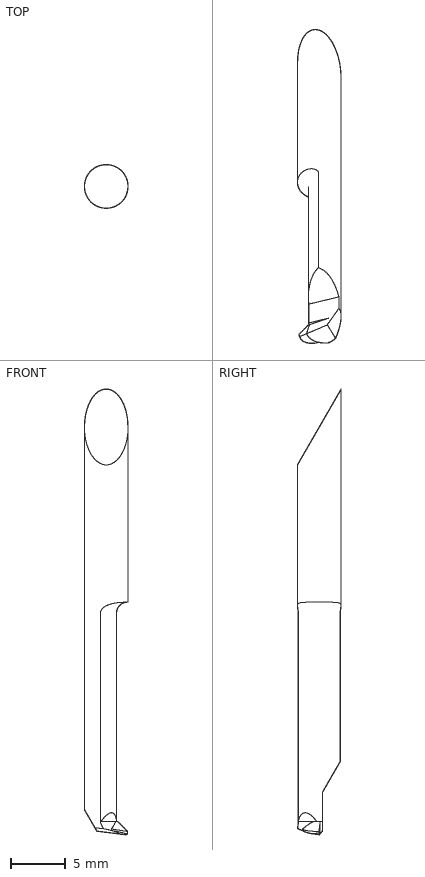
import cadquery as cq
import math


SHANK_RADIUS = 2.0
TOTAL_LENGTH = 40.72
SHANK_END_ANGLE = 30.0

NECK_OFFSET = 1.05
NECK_AXIS_X = -NECK_OFFSET
NECK_TOP_Z = 21.25
NECK_RUNOUT_RADIUS = 1.0

FLAT_Y = 0.31
FLAT_TOP_Z = 3.9
FLAT_RUNOUT_ANGLE = 30.0

BEVEL_TOP_Z = 2.3
BEVEL_ANGLE = 30.0

CHIP_FACET_START_X = -1.0

TIP_TOP_Z = 1.22
UNDERCUT_HEIGHT = 0.8
UNDERCUT_DEPTH = 0.33
UNDERCUT_DIRECTION = -40.0

FLARE_ANGLE = 14.0
FLARE_TOP_Z = 1.1

FLANK_ANGLE = 45.0
FLANK_AXIS_X = 0.2
TIP_TOP_REACH = 1.05
NOSE_REACH = 1.96
CLEARANCE_AXIS_X = 0.45
CLEARANCE_RADIUS = NOSE_REACH - CLEARANCE_AXIS_X
NOSE_RADIUS = 0.2
END_SLOPE = 8.0
END_RELIEF = 8.0

CLEAR = 2 * SHANK_RADIUS


def tangent(degrees):
    return math.tan(math.radians(degrees))


def cylinder(radius, x, bottom, top):
    return cq.Workplane("XY", origin=(x, 0, bottom)).circle(radius).extrude(top - bottom)


def cone(x, z, radius, angle, bottom):
    """Cone about a vertical line at x, with the given radius at height z, that widens downward."""
    bottom_radius = radius + (z - bottom) * tangent(angle)
    return (
        cq.Workplane("XZ", origin=(x, 0, 0))
        .polyline([(0, bottom), (bottom_radius, bottom), (radius, z), (0, z)])
        .close()
        .revolve(360, (0, 0, 0), (0, 1, 0))
    )


def prism_along_x(points):
    """Prism through the whole bar from a (Y, Z) outline."""
    return cq.Workplane("YZ").polyline(points).close().extrude(CLEAR, both=True)


def prism_along_y(points):
    """Prism through the whole bar from an (X, Z) outline."""
    return cq.Workplane("XZ").polyline(points).close().extrude(CLEAR, both=True)


def shank_end_cut():
    low = TOTAL_LENGTH - 2 * SHANK_RADIUS / tangent(SHANK_END_ANGLE)
    run = CLEAR / tangent(SHANK_END_ANGLE)
    return prism_along_x([
        (SHANK_RADIUS, TOTAL_LENGTH),
        (SHANK_RADIUS, TOTAL_LENGTH + run),
        (-SHANK_RADIUS - CLEAR, TOTAL_LENGTH + run),
        (-SHANK_RADIUS - CLEAR, low - run),
    ])


def neck_cut():
    """Ring around the neck axis, with a rounded runout at its upper end."""
    outer = SHANK_RADIUS + CLEAR
    runout_start = NECK_TOP_Z - NECK_RUNOUT_RADIUS
    mid = NECK_RUNOUT_RADIUS * (1 - math.sqrt(0.5))
    return (
        cq.Workplane("XZ", origin=(NECK_AXIS_X, 0, 0))
        .moveTo(SHANK_RADIUS, -CLEAR)
        .lineTo(SHANK_RADIUS, runout_start)
        .threePointArc(
            (SHANK_RADIUS + mid, NECK_TOP_Z - mid),
            (SHANK_RADIUS + NECK_RUNOUT_RADIUS, NECK_TOP_Z),
        )
        .lineTo(outer, NECK_TOP_Z)
        .lineTo(outer, -CLEAR)
        .close()
        .revolve(360, (0, 0, 0), (0, 1, 0))
    )


def flat_cut():
    rise = CLEAR / tangent(FLAT_RUNOUT_ANGLE)
    return prism_along_x([
        (FLAT_Y, -CLEAR),
        (FLAT_Y, FLAT_TOP_Z),
        (FLAT_Y + CLEAR, FLAT_TOP_Z + rise),
        (FLAT_Y + CLEAR, -CLEAR),
    ])


def bevel_cut():
    drop = CLEAR / tangent(BEVEL_ANGLE)
    return prism_along_y([
        (-SHANK_RADIUS, BEVEL_TOP_Z),
        (-SHANK_RADIUS + CLEAR, BEVEL_TOP_Z - drop),
        (-SHANK_RADIUS - CLEAR, BEVEL_TOP_Z - drop),
        (-SHANK_RADIUS - CLEAR, BEVEL_TOP_Z),
    ])


def chip_facet_cut():
    """Wedge above the cutting edge, from the flat down to the bar's middle plane at the nose."""
    return (
        cq.Workplane("XY", origin=(0, 0, -CLEAR))
        .polyline([
            (CHIP_FACET_START_X, FLAT_Y),
            (NOSE_REACH - NOSE_RADIUS, 0),
            (CLEAR, 0),
            (CLEAR, CLEAR),
            (CHIP_FACET_START_X, CLEAR),
        ])
        .close()
        .extrude(CLEAR + TIP_TOP_Z)
    )


def undercut_cut():
    """Triangular groove across the neck, deepest at the top of the tip."""
    return (
        cq.Workplane("XZ")
        .polyline([
            (SHANK_RADIUS, TIP_TOP_Z + UNDERCUT_HEIGHT),
            (SHANK_RADIUS - UNDERCUT_DEPTH, TIP_TOP_Z),
            (SHANK_RADIUS + UNDERCUT_DEPTH, TIP_TOP_Z),
        ])
        .close()
        .extrude(CLEAR, both=True)
        .rotate((0, 0, 0), (0, 0, 1), UNDERCUT_DIRECTION)
        .translate((NECK_AXIS_X, 0, 0))
    )


def end_form():
    """Everything above the sloped end face and inside the rounded nose, swept back with relief."""
    slope = math.radians(END_SLOPE)
    nose_x = NOSE_REACH - NOSE_RADIUS
    nose_z = NOSE_RADIUS
    edge_x = nose_x - NOSE_RADIUS * math.sin(slope)
    edge_z = nose_z - NOSE_RADIUS * math.cos(slope)
    left = -CLEAR
    sweep_start = cq.Vector(0, CLEAR, -CLEAR * tangent(END_RELIEF))
    outline = (
        cq.Workplane("XZ", origin=sweep_start)
        .moveTo(left, edge_z + (edge_x - left) * math.tan(slope))
        .lineTo(edge_x, edge_z)
        .threePointArc(
            (nose_x + NOSE_RADIUS * math.sqrt(0.5), nose_z - NOSE_RADIUS * math.sqrt(0.5)),
            (NOSE_REACH, nose_z),
        )
        .lineTo(NOSE_REACH, 2 * CLEAR)
        .lineTo(left, 2 * CLEAR)
        .close()
    )
    face = cq.Face.makeFromWires(outline.val())
    return cq.Workplane(cq.Solid.extrudeLinear(face, sweep_start * -2))


def flared_root():
    flare = cone(NECK_AXIS_X, FLARE_TOP_Z, SHANK_RADIUS, FLARE_ANGLE, -CLEAR)
    return flare.intersect(cylinder(SHANK_RADIUS, 0, -CLEAR, FLARE_TOP_Z))


def end_waste():
    """Everything to remove from the lower end: below and beyond the end form, and above the edge."""
    block = cylinder(CLEAR, 0, -CLEAR, TIP_TOP_Z)
    return block.cut(end_form()).union(flat_cut()).union(chip_facet_cut())


def make_bar():
    bar = cylinder(SHANK_RADIUS, 0, -CLEAR, TOTAL_LENGTH)
    bar = bar.cut(shank_end_cut()).cut(neck_cut()).cut(undercut_cut())
    bar = bar.union(flared_root())
    return bar.cut(end_waste()).cut(bevel_cut())


def make_tip(bar):
    """Cone-flanked cutting edge, seated against the flared root of the bar."""
    tip = cone(FLANK_AXIS_X, TIP_TOP_Z, TIP_TOP_REACH - FLANK_AXIS_X, FLANK_ANGLE, -CLEAR)
    tip = tip.intersect(cylinder(CLEARANCE_RADIUS, CLEARANCE_AXIS_X, -CLEAR, TIP_TOP_Z))
    return tip.cut(end_waste()).cut(bevel_cut()).cut(bar)


bar = make_bar()
tip = make_tip(bar)
result = cq.Compound.makeCompound([bar.solids().val(), tip.solids().val()])